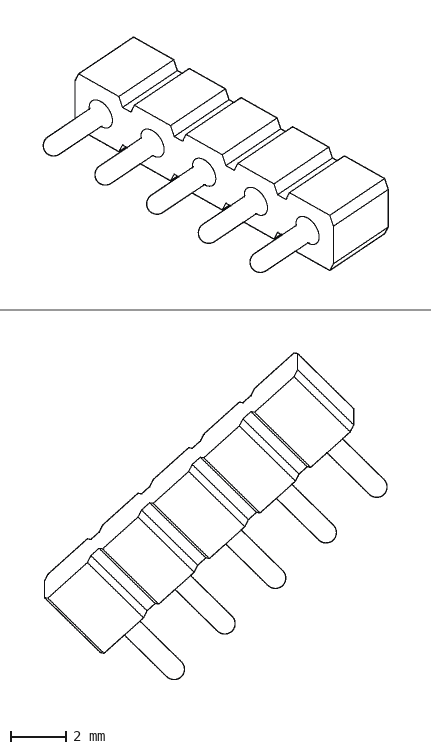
import cadquery as cq
import math

pin_count = 5
pitch = 2.54
length = pin_count * pitch
height = 2.54
total_depth = 5.85
housing_depth = 2.95

notch_depth = 0.41
notch_floor_width = 0.41
flank_width = 0.18

pin_length = total_depth - housing_depth
pin_radius = 0.38
collar_radius = 0.57
cone_length = 0.1
cone_angle = math.radians(45)

front_y = -housing_depth / 2 + pin_length / 2
back_y = front_y + housing_depth


def upper_outline():
    """Points of the housing's upper edge, from the -X end to the +X end."""
    top = height / 2
    floor = top - notch_depth
    points = []
    for cell in range(pin_count):
        left = -length / 2 + cell * pitch
        right = left + pitch
        left_gap = 0 if cell == 0 else notch_floor_width / 2
        right_gap = 0 if cell == pin_count - 1 else notch_floor_width / 2
        points += [
            (left + left_gap, floor),
            (left + left_gap + flank_width, top),
            (right - right_gap - flank_width, top),
            (right - right_gap, floor),
        ]
    return points


def make_housing():
    upper = upper_outline()
    lower = [(x, -z) for x, z in reversed(upper)]
    return (
        cq.Workplane("XZ", origin=(0, back_y, 0))
        .polyline(upper + lower)
        .close()
        .extrude(housing_depth)
    )


def make_pin(x):
    """Solid of revolution about a line parallel to Y, standing on the front face."""
    cone_end_radius = collar_radius - cone_length * math.tan(cone_angle)
    blend_radius = (cone_end_radius - pin_radius) / (1 - math.cos(cone_angle))
    blend_end = cone_length + blend_radius * math.sin(cone_angle)
    blend_center_radius = pin_radius + blend_radius
    half_angle = cone_angle / 2
    blend_middle = (
        blend_center_radius - blend_radius * math.cos(half_angle),
        -(blend_end - blend_radius * math.sin(half_angle)),
    )
    tip_start = pin_length - pin_radius
    tip_middle = (
        pin_radius * math.cos(math.pi / 4),
        -(tip_start + pin_radius * math.sin(math.pi / 4)),
    )
    return (
        cq.Workplane("XY", origin=(x, front_y, 0))
        .lineTo(collar_radius, 0)
        .lineTo(cone_end_radius, -cone_length)
        .threePointArc(blend_middle, (pin_radius, -blend_end))
        .lineTo(pin_radius, -tip_start)
        .threePointArc(tip_middle, (0, -pin_length))
        .close()
        .revolve(360, (0, 0, 0), (0, 1, 0))
    )


result = make_housing()
for index in range(pin_count):
    pin_x = (index - (pin_count - 1) / 2) * pitch
    result = result.union(make_pin(pin_x))